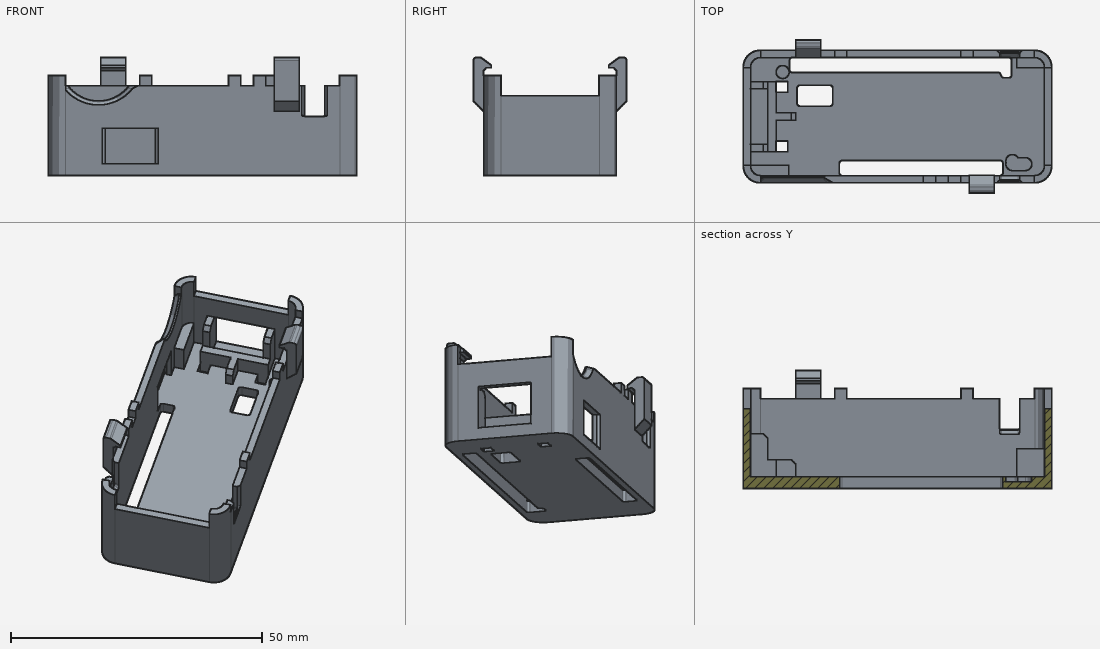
import cadquery as cq

LENGTH = 61.5
WIDTH = 26.45
WALL = 1.5
FLOOR = 2.4
CORNER_RADIUS = 3.45
POST_SIZE = 3.5
END_WALL_TOP = 15.9
SIDE_WALL_TOP = 17.95
POST_TOP = 20.0

INNER_X = LENGTH / 2 - WALL
OUTER_Y = WIDTH / 2
INNER_Y = OUTER_Y - WALL
POST_X = LENGTH / 2 - POST_SIZE
POST_Y = OUTER_Y - POST_SIZE

TAB_LENGTH = 2.45
FRONT_TAB_STARTS = (5.15, 10.15)
BACK_TAB_STARTS = (-12.55, 12.6)

CLIP_LENGTH = 5.05
FRONT_CLIP_X = 16.8
BACK_CLIP_X = -17.8
CLIP_TOP = 23.55
CLIP_THICKNESS = 2.0
CLIP_ROOT = 12.8
CLIP_TOP_FILLET = 0.55
HOOK_REACH = 1.55
HOOK_UNDERSIDE = 21.45
HOOK_TIP_TOP = 22.0
HOOK_CREST = 0.55
HOOK_ROOT_CHAMFER = 0.55

NOTCH_X = 22.3
NOTCH_WIDTH = 4.0
NOTCH_BOTTOM = 11.8
NOTCH_CORNER = 0.35
NOTCH_SLOPE_DEPTH = 0.85
NOTCH_BAND_DEPTH = 0.3
NOTCH_BAND_DROP = 0.1
FLARE = 0.55

FRONT_WINDOW_X = -14.4
FRONT_WINDOW_LENGTH = 10.0
FRONT_WINDOW_TOP = 9.5

SCALLOP_X = -20.7
SCALLOP_BEND = 17.4
SCALLOP_LIP = 0.35
SCALLOP_BAND = 0.2
SCALLOP_OUTER = {"bottom": 14.1, "bend": 6.8, "rim": 7.95}
SCALLOP_BREAK = {"bottom": 14.75, "bend": 5.85, "rim": 6.3}
SCALLOP_CREST = {"bottom": 14.9, "bend": 5.65, "rim": 6.1}
SCALLOP_INNER = {"bottom": 14.65, "bend": 5.95, "rim": 6.4}

END_WINDOW_WIDTH = 11.0
END_WINDOW_TOP = 10.95
END_WINDOW_CORNER = 0.35
BRACKET_DEPTH = 3.45
BAR_THICKNESS = 1.65
BAR_TOP = 5.8
ARM_TOP = 10.95
RIB_LENGTH = 3.95
BRACKET_CHAMFER = 0.9
BRACKET_HALF_WIDTH = END_WINDOW_WIDTH / 2 + WALL
BAR_X = -INNER_X + BRACKET_DEPTH
BAR_END_X = BAR_X + BAR_THICKNESS

BLOCK_TOP = 8.0
FRONT_BLOCK_LENGTH = 7.55
BACK_BLOCK_LENGTH = 5.5

SLOT_WIDTH = 2.95
SLOT_CORNER = 0.5
BACK_SLOT = (-21.45, 22.7)
FRONT_SLOT = (-11.55, 21.0)
SLOT_BAY_LENGTH = 1.85
SLOT_BAY_DEPTH = 1.05
SLOT_BAY_RUNOUT = 0.5
SQUARE_LENGTH = 2.3
SQUARE_WIDTH = 2.1
RECT_HOLE_X = (-20.0, -12.9)
RECT_HOLE_Y = (2.1, 6.2)
RECT_HOLE_CORNER = 0.55

PIN_X = 22.9
PIN_Y = 8.85
PIN_DIAMETER = 2.6
PIN_SLOT_TRAVEL = 2.6
PIN_SLOT_SHIFT = 0.6
PIN_DEPTH = 1.0


def box(x, y, z):
    """Box spanning the given (low, high) pairs."""
    size = (x[1] - x[0], y[1] - y[0], z[1] - z[0])
    return cq.Workplane("XY").box(*size, centered=False).translate((x[0], y[0], z[0]))


def prism_along_x(points, x_centre, length):
    """Extrude a (y, z) outline along X, centred on x_centre."""
    outline = cq.Workplane("YZ").polyline(points).close()
    return outline.extrude(length / 2, both=True).translate((x_centre, 0, 0))


def to_back(solid):
    """Mirror a front-wall feature onto the back wall."""
    return solid.mirror("XZ")


def make_shell():
    outside = cq.Workplane("XY").rect(LENGTH, WIDTH).extrude(POST_TOP)
    outside = outside.edges("|Z").fillet(CORNER_RADIUS)
    cavity = cq.Workplane("XY", origin=(0, 0, FLOOR)).rect(2 * INNER_X, 2 * INNER_Y).extrude(POST_TOP)
    cavity = cavity.edges("|Z").fillet(CORNER_RADIUS - WALL)
    shell = outside.cut(cavity)

    end_gap = box((-LENGTH, LENGTH), (-POST_Y, POST_Y), (END_WALL_TOP, POST_TOP))
    side_gap = box((-POST_X, POST_X), (-WIDTH, WIDTH), (SIDE_WALL_TOP, POST_TOP))
    return shell.cut(end_gap).cut(side_gap)


def make_tabs():
    tabs = cq.Workplane("XY")
    height = (SIDE_WALL_TOP, POST_TOP)
    for start in FRONT_TAB_STARTS:
        tabs = tabs.add(box((start, start + TAB_LENGTH), (-OUTER_Y, -INNER_Y), height))
    for start in BACK_TAB_STARTS:
        tabs = tabs.add(box((start, start + TAB_LENGTH), (INNER_Y, OUTER_Y), height))
    return tabs.combine()


def make_clip(x_centre):
    """Snap clip on the front wall: sloped root, upright arm and inward hook."""
    outer = -OUTER_Y - CLIP_THICKNESS
    tip = -OUTER_Y + HOOK_REACH
    points = [
        (-OUTER_Y, CLIP_ROOT),
        (outer, CLIP_ROOT + CLIP_THICKNESS),
        (outer, CLIP_TOP),
        (-OUTER_Y - HOOK_CREST, CLIP_TOP),
        (tip, HOOK_TIP_TOP),
        (tip, HOOK_UNDERSIDE),
        (-OUTER_Y + HOOK_ROOT_CHAMFER, HOOK_UNDERSIDE),
        (-OUTER_Y, HOOK_UNDERSIDE - HOOK_ROOT_CHAMFER),
    ]
    clip = prism_along_x(points, x_centre, CLIP_LENGTH)
    return clip.faces(">Z").edges("|X").fillet(CLIP_TOP_FILLET)


def flared_opening(x_centre, width, bottom, top):
    """Opening through the front wall whose two sides flare at the outer face."""
    half = width / 2
    half_plan = [(half, -INNER_Y), (half, -OUTER_Y + FLARE), (half + FLARE, -OUTER_Y)]
    plan = half_plan + [(-x, y) for x, y in reversed(half_plan)]
    opening = cq.Workplane("XY", origin=(x_centre, 0, bottom)).polyline(plan).close()
    return opening.extrude(top - bottom)


def make_notch():
    """Flared notch whose rounded floor falls away at 45 degrees toward the inside."""
    band_bottom = NOTCH_BOTTOM - NOTCH_BAND_DROP
    slope_y = -INNER_Y - NOTCH_SLOPE_DEPTH
    profile = [
        (-INNER_Y, SIDE_WALL_TOP),
        (-INNER_Y, band_bottom - NOTCH_SLOPE_DEPTH),
        (slope_y, band_bottom),
        (slope_y - NOTCH_BAND_DEPTH, NOTCH_BOTTOM),
        (-OUTER_Y, NOTCH_BOTTOM),
        (-OUTER_Y, SIDE_WALL_TOP),
    ]
    passage = prism_along_x(profile, NOTCH_X, NOTCH_WIDTH)
    passage = passage.faces("<X or >X").edges("not (|Z or >Z)").fillet(NOTCH_CORNER)
    flare = flared_opening(NOTCH_X, NOTCH_WIDTH, NOTCH_BOTTOM, SIDE_WALL_TOP)
    flare = flare.intersect(box((0, LENGTH), (-OUTER_Y, -OUTER_Y + FLARE), (0, POST_TOP)))
    flare = flare.faces("<Z").edges("not |X").fillet(NOTCH_CORNER)
    return passage.union(flare)


def scallop_outline(plane_y, size):
    """Arc with flatter run-outs at the rim, on a plane facing the front."""
    bend, rim = size["bend"], size["rim"]
    sketch = cq.Workplane("XZ", origin=(SCALLOP_X, plane_y, 0)).moveTo(-rim, SIDE_WALL_TOP)
    sketch = sketch.lineTo(-bend, SCALLOP_BEND)
    sketch = sketch.threePointArc((0, size["bottom"]), (bend, SCALLOP_BEND))
    return sketch.lineTo(rim, SIDE_WALL_TOP).close()


def make_scallop():
    """Dished cut rising to a crest near the inner face, then a short lip falling away inside."""
    crest_y = -INNER_Y - SCALLOP_LIP
    outlines = [
        scallop_outline(-OUTER_Y, SCALLOP_OUTER),
        scallop_outline(crest_y - SCALLOP_BAND, SCALLOP_BREAK),
        scallop_outline(crest_y, SCALLOP_CREST),
        scallop_outline(-INNER_Y, SCALLOP_INNER),
    ]
    cut = cq.Workplane(cq.Solid.makeLoft([outline.val() for outline in outlines], True))
    post_clearance = box((-POST_X, 0), (-WIDTH, 0), (0, POST_TOP))
    return cut.intersect(post_clearance)


def make_end_window():
    half = END_WINDOW_WIDTH / 2
    window = box((-LENGTH / 2, -INNER_X), (-half, half), (FLOOR, END_WINDOW_TOP))
    return window.edges("|X and >Z").fillet(END_WINDOW_CORNER)


def make_bracket():
    """Two chamfered arms, a cross bar and a rib around the connector."""
    bar = box((BAR_X, BAR_END_X), (-BRACKET_HALF_WIDTH, BRACKET_HALF_WIDTH), (FLOOR, BAR_TOP))
    rib = box((BAR_END_X, BAR_END_X + RIB_LENGTH), (-WALL / 2, WALL / 2), (FLOOR, BAR_TOP))
    bracket = bar.union(rib.edges(">X and >Z").chamfer(BRACKET_CHAMFER))
    arm = box((-INNER_X, BAR_X), (-BRACKET_HALF_WIDTH, -END_WINDOW_WIDTH / 2), (FLOOR, ARM_TOP))
    arm = arm.edges(">X and >Z").chamfer(BRACKET_CHAMFER)
    return bracket.union(arm).union(to_back(arm))


def make_blocks():
    """Corner supports, rounded by the inside corners they fill."""
    height = (FLOOR, BLOCK_TOP)
    front = box((-INNER_X, -INNER_X + FRONT_BLOCK_LENGTH), (-INNER_Y, -POST_Y), height)
    back = box((INNER_X - BACK_BLOCK_LENGTH, INNER_X), (POST_Y, INNER_Y), height)
    return front.union(back)


def make_floor_openings():
    through = (0, FLOOR)
    slot_edge = INNER_Y - SLOT_WIDTH
    front_slot = box(FRONT_SLOT, (-INNER_Y, -slot_edge), through).edges("|Z").fillet(SLOT_CORNER)

    left, right = BACK_SLOT
    bay_left = right - SLOT_BAY_LENGTH
    back_outline = [
        (left, INNER_Y),
        (left, slot_edge),
        (bay_left - SLOT_BAY_RUNOUT, slot_edge),
        (bay_left, slot_edge - SLOT_BAY_DEPTH),
        (right, slot_edge - SLOT_BAY_DEPTH),
        (right, INNER_Y),
    ]
    back_slot = cq.Workplane("XY").polyline(back_outline).close().extrude(FLOOR)
    back_slot = back_slot.edges("|Z").fillet(SLOT_CORNER)

    rect_hole = box(RECT_HOLE_X, RECT_HOLE_Y, through).edges("|Z").fillet(RECT_HOLE_CORNER)
    square_y = (-BRACKET_HALF_WIDTH, -BRACKET_HALF_WIDTH + SQUARE_WIDTH)
    square = box((BAR_END_X, BAR_END_X + SQUARE_LENGTH), square_y, through)

    openings = front_slot.union(back_slot).union(rect_hole)
    return openings.union(square).union(to_back(square))


def make_pin_recesses():
    """A round recess at one corner and a round-plus-slot recess diagonally opposite."""
    pins = cq.Workplane("XY").pushPoints([(-PIN_X, PIN_Y), (PIN_X, -PIN_Y)])
    pins = pins.circle(PIN_DIAMETER / 2).extrude(PIN_DEPTH)
    slot_centre = (PIN_X + PIN_SLOT_TRAVEL / 2, -PIN_Y - PIN_SLOT_SHIFT)
    slot = cq.Workplane("XY").center(*slot_centre)
    slot = slot.slot2D(PIN_SLOT_TRAVEL + PIN_DIAMETER, PIN_DIAMETER).extrude(PIN_DEPTH)
    return pins.union(slot).translate((0, 0, FLOOR - PIN_DEPTH))


front_window = flared_opening(FRONT_WINDOW_X, FRONT_WINDOW_LENGTH, FLOOR, FRONT_WINDOW_TOP)
notch = make_notch()

result = make_shell().union(make_tabs()).union(make_blocks()).union(make_bracket())
result = result.cut(make_end_window()).cut(front_window).cut(make_scallop())
result = result.cut(notch).cut(to_back(notch))
result = result.cut(make_floor_openings()).cut(make_pin_recesses())
result = result.union(make_clip(FRONT_CLIP_X)).union(to_back(make_clip(BACK_CLIP_X)))